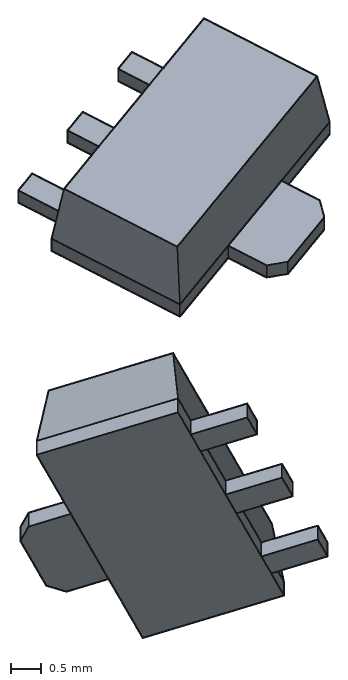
import cadquery as cq

overall_length = 4.5
overall_height = 1.6
body_length = overall_length
body_width = 2.5
half_body_width = body_width / 2
terminal_reach = (overall_length - body_width) / 2

base_thickness = 0.33
cover_height = overall_height - base_thickness
cover_inset = 0.15

lead_pitch = 1.5
outer_lead_width = 0.42
middle_lead_width = 0.46
leads = [
    (-lead_pitch, outer_lead_width),
    (0, middle_lead_width),
    (lead_pitch, outer_lead_width),
]

tab_width = 1.6
tab_corner_chamfer = 0.25


def make_base():
    """Straight-walled lower layer of the package."""
    return cq.Workplane("XY").box(
        body_width, body_length, base_thickness, centered=(True, True, False)
    )


def make_cover():
    """Upper layer with four walls sloping in to a flat top."""
    return (
        cq.Workplane("XY", origin=(0, 0, base_thickness))
        .rect(body_width, body_length)
        .workplane(offset=cover_height)
        .rect(body_width - 2 * cover_inset, body_length - 2 * cover_inset)
        .loft(ruled=True)
    )


def make_lead(y_centre, width):
    """Straight rectangular lead whose inner end meets the base."""
    return (
        cq.Workplane("XY")
        .box(terminal_reach, width, base_thickness, centered=(True, True, False))
        .translate((-half_body_width - terminal_reach / 2, y_centre, 0))
    )


def make_tab():
    """Wide tab with its two free corners chamfered."""
    return (
        cq.Workplane("XY")
        .box(terminal_reach, tab_width, base_thickness, centered=(True, True, False))
        .edges("|Z and >X")
        .chamfer(tab_corner_chamfer)
        .translate((half_body_width + terminal_reach / 2, 0, 0))
    )


base = make_base()
cover = make_cover()
lead_solids = [make_lead(y_centre, width).val() for y_centre, width in leads]
tab = make_tab()

result = cq.Compound.makeCompound([base.val(), cover.val(), *lead_solids, tab.val()])